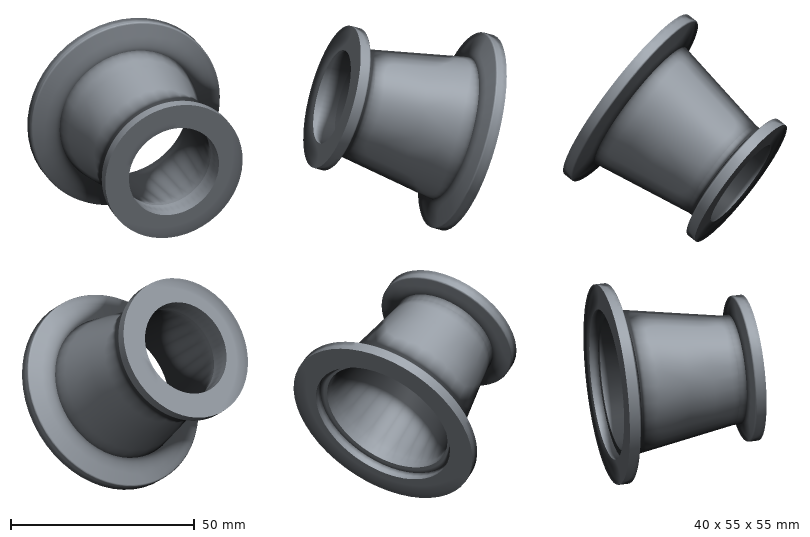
import cadquery as cq
import math

length = 40.0

rim_width = 3.0
rim_fillet = 0.5
clamp_angle = 15.0

large_flange_radius = 55.0 / 2
large_tube_radius = 40.0 / 2
large_bore_radius = 37.0 / 2
recess_radius = 41.2 / 2
recess_depth = 2.5

small_flange_radius = 40.0 / 2
small_tube_radius = 30.0 / 2
small_bore_radius = 26.2 / 2
small_tube_start = 33.6


def clamp_cone_foot(flange_radius, tube_radius):
    """Distance from a flange face to where its clamping cone meets the tube."""
    return rim_width + (flange_radius - tube_radius) * math.tan(math.radians(clamp_angle))


def revolve_about_x(profile):
    """Turn a closed (X, radius) profile into a solid of revolution about X."""
    return cq.Workplane("XZ").polyline(profile).close().revolve(360, (0, 0), (1, 0))


def make_outer_body():
    """Solid reducer: large flange, tapered tube, straight neck and small flange."""
    large_cone_foot = clamp_cone_foot(large_flange_radius, large_tube_radius)
    small_cone_foot = length - clamp_cone_foot(small_flange_radius, small_tube_radius)
    return revolve_about_x([
        (0, 0),
        (0, large_flange_radius),
        (rim_width, large_flange_radius),
        (large_cone_foot, large_tube_radius),
        (small_tube_start, small_tube_radius),
        (small_cone_foot, small_tube_radius),
        (length - rim_width, small_flange_radius),
        (length, small_flange_radius),
        (length, 0),
    ])


def round_rim(body, rim_x, flange_radius):
    """Round the edge where a flange rim turns into its clamping cone."""
    rim_edge = cq.selectors.BoxSelector(
        (rim_x - rim_fillet, -flange_radius, -flange_radius),
        (rim_x + rim_fillet, flange_radius, flange_radius),
    )
    return body.edges("%CIRCLE").edges(rim_edge).fillet(rim_fillet)


def make_passage():
    """Hollow inside: ring seat, tapered bore and straight bore of the neck."""
    return revolve_about_x([
        (0, 0),
        (0, recess_radius),
        (recess_depth, recess_radius),
        (recess_depth, large_bore_radius),
        (small_tube_start, small_bore_radius),
        (length, small_bore_radius),
        (length, 0),
    ])


body = make_outer_body()
body = round_rim(body, rim_width, large_flange_radius)
body = round_rim(body, length - rim_width, small_flange_radius)

result = body.cut(make_passage())